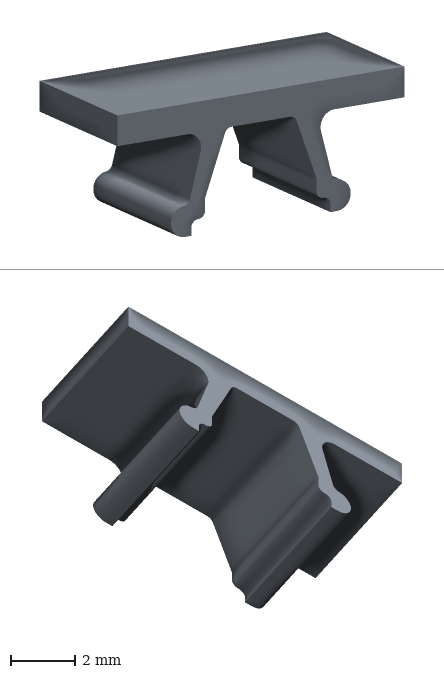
import cadquery as cq
import math

width = 4.6
length = 10.5
height = 4.3
plate_thickness = 1.0

root_inner_y = 1.25
leg_inner_y = 2.04
leg_bend_z = -3.15
outer_lean = math.radians(15)
bead_radius = 0.5
bead_y = 2.78
small_radius = 0.25
root_outer_radius = 0.5
step_flat = 0.005

plate_bottom = -plate_thickness
bead_z = -height + bead_radius
foot_inner_y = leg_inner_y + 2 * small_radius + step_flat

root_outer_y = bead_y - (plate_bottom - bead_z) * math.tan(outer_lean)
flank_end = (
    bead_y - bead_radius * math.sin(outer_lean),
    bead_z + bead_radius * math.cos(outer_lean),
)


def round_edge(body, y, z, radius):
    """Round the edge along X that passes through (y, z)."""
    edge = cq.selectors.NearestToPointSelector((0, y, z))
    return body.edges("|X").edges(edge).fillet(radius)


def make_plate():
    plate = cq.Workplane("XY").box(width, length, plate_thickness)
    return plate.translate((0, 0, plate_bottom / 2))


def leg_blank():
    """Leg with its bead and stepped foot, before rounding."""
    return (
        cq.Workplane("YZ")
        .moveTo(root_inner_y, plate_bottom)
        .lineTo(root_outer_y, plate_bottom)
        .lineTo(*flank_end)
        .threePointArc((bead_y + bead_radius, bead_z), (bead_y, -height))
        .lineTo(foot_inner_y, -height)
        .lineTo(foot_inner_y, bead_z)
        .lineTo(leg_inner_y, bead_z)
        .lineTo(leg_inner_y, leg_bend_z)
        .close()
        .extrude(width / 2, both=True)
    )


leg = leg_blank()
body = make_plate().union(leg).union(leg.mirror("XZ"))

for side in (1, -1):
    body = round_edge(body, side * root_inner_y, plate_bottom, small_radius)
    body = round_edge(body, side * root_outer_y, plate_bottom, root_outer_radius)
    body = round_edge(body, side * flank_end[0], flank_end[1], small_radius)
    body = round_edge(body, side * foot_inner_y, bead_z, small_radius)
    body = round_edge(body, side * leg_inner_y, bead_z, small_radius)

result = body.translate((0, 0, height / 2))